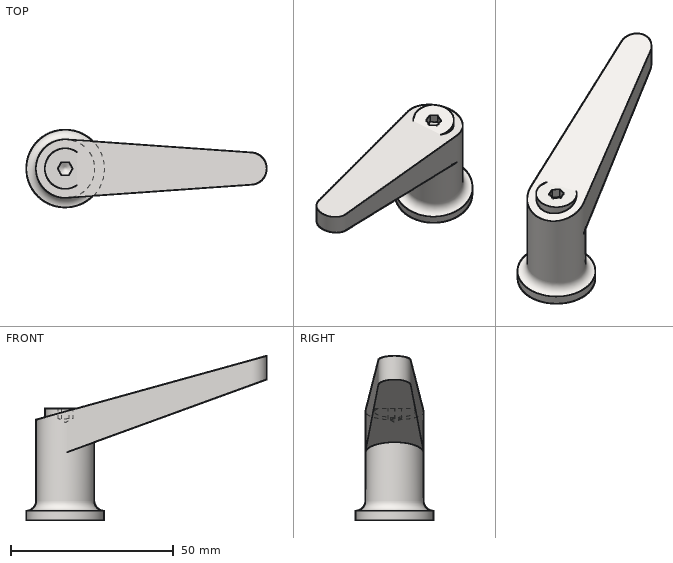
import cadquery as cq
import math

flange_radius = 12.0
flange_height = 3.0
column_radius = 9.0
fillet_radius = flange_radius - column_radius

lever_tip_x = 62.0
tip_radius = 5.0
tip_top_z = 50.66
column_low_edge_z = 31.0
underside_start_z = 21.0
underside_angle = 20.0

screw_radius = 6.25
screw_top_z = 34.5
socket_across_flats = 4.0
socket_depth = 3.0
socket_point_angle = 120.0

tip_center_x = lever_tip_x - tip_radius
side_sin = (column_radius - tip_radius) / tip_center_x
side_cos = math.sqrt(1 - side_sin**2)
root_x = column_radius * side_sin
root_y = column_radius * side_cos
tip_x = tip_center_x + tip_radius * side_sin
tip_y = tip_radius * side_cos

top_slope = (tip_top_z - column_low_edge_z) / (lever_tip_x + column_radius)
underside_slope = math.tan(math.radians(underside_angle))


def top_z(x):
    """Height of the sloping top face at x."""
    return column_low_edge_z + top_slope * (x + column_radius)


def underside_z(x):
    """Height of the lever underside at x."""
    return underside_start_z + underside_slope * (x - root_x)


def side_prism(points):
    """Prism of an XZ outline, wide enough in Y to span the whole part."""
    return cq.Workplane("XZ").polyline(points).close().extrude(flange_radius, both=True)


def make_hub():
    fillet_top_z = flange_height + fillet_radius
    fillet_mid_r = flange_radius - fillet_radius * math.sin(math.pi / 4)
    fillet_mid_z = fillet_top_z - fillet_radius * math.sin(math.pi / 4)
    blank = (
        cq.Workplane("XZ")
        .lineTo(flange_radius, 0)
        .lineTo(flange_radius, flange_height)
        .threePointArc((fillet_mid_r, fillet_mid_z), (column_radius, fillet_top_z))
        .lineTo(column_radius, tip_top_z)
        .lineTo(0, tip_top_z)
        .close()
        .revolve(360, (0, 0, 0), (0, 1, 0))
    )
    below_top_face = side_prism([
        (-flange_radius, 0),
        (flange_radius, 0),
        (flange_radius, top_z(flange_radius)),
        (-flange_radius, top_z(-flange_radius)),
    ])
    return blank.intersect(below_top_face)


def make_lever():
    plan = (
        cq.Workplane("XY")
        .moveTo(root_x, -root_y)
        .lineTo(tip_x, -tip_y)
        .threePointArc((lever_tip_x, 0), (tip_x, tip_y))
        .lineTo(root_x, root_y)
        .close()
        .extrude(tip_top_z)
    )
    profile = side_prism([
        (root_x, underside_z(root_x)),
        (lever_tip_x, underside_z(lever_tip_x)),
        (lever_tip_x, top_z(lever_tip_x)),
        (root_x, top_z(root_x)),
    ])
    return plan.intersect(profile)


def make_screw_head():
    return (
        cq.Workplane("XY")
        .workplane(offset=flange_height)
        .circle(screw_radius)
        .extrude(screw_top_z - flange_height)
    )


def make_socket():
    """Hexagon with corners along X, ending in a conical drill point."""
    corner_radius = socket_across_flats / math.sqrt(3)
    point_depth = corner_radius / math.tan(math.radians(socket_point_angle / 2))
    hexagon = (
        cq.Workplane("XY")
        .workplane(offset=screw_top_z)
        .polygon(6, 2 * corner_radius)
        .extrude(-(socket_depth + point_depth))
    )
    drilled = (
        cq.Workplane("XZ")
        .moveTo(0, screw_top_z)
        .lineTo(corner_radius, screw_top_z)
        .lineTo(corner_radius, screw_top_z - socket_depth)
        .lineTo(0, screw_top_z - socket_depth - point_depth)
        .close()
        .revolve(360, (0, 0, 0), (0, 1, 0))
    )
    return hexagon.intersect(drilled)


result = make_hub().union(make_lever()).union(make_screw_head()).cut(make_socket())